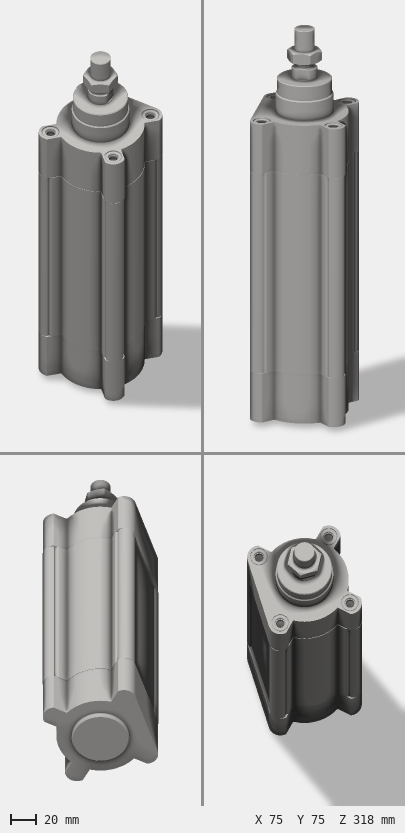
import cadquery as cq
import math

FRONT_FACE_Z = 245.5
CAP_LENGTH = 40.5
PILOT_LENGTH = 4.0
COLLAR_LENGTH = 16.0
NOSE_LENGTH = 12.0
TOTAL_LENGTH = 318.0
NOSE_TOP_Z = FRONT_FACE_Z + COLLAR_LENGTH + NOSE_LENGTH
ROD_TOP_Z = TOTAL_LENGTH - PILOT_LENGTH

FLANK_ROOT_FILLET = 0.5
FLANK_TIP_FILLET = 1.3
EDGE_TOLERANCE = 0.03

CAP_BARREL_RADIUS = 34.5
CAP_FLANK_OFFSET = 11.0
CAP_HALF_WIDTH = 37.5
SCREW_OFFSET = 28.3
CAP_LUG_RADIUS = CAP_HALF_WIDTH - SCREW_OFFSET

TUBE_BARREL_RADIUS = 34.7
TUBE_FLANK_OFFSET = 11.8
TUBE_HALF_WIDTH = 37.2
TUBE_SHOULDER_HALF_WIDTH = 35.0
TUBE_LUG_RADIUS = 7.3
TUBE_LUG_EDGE = 26.5

COLLAR_DIAMETER = 45.0
COLLAR_CHAMFER = 1.0
NOSE_DIAMETER = 43.0
NOSE_CHAMFER = 0.5
PILOT_CHAMFER = 1.0

RECESS_DIAMETER = 14.0
GAP_DEPTH = 1.0
HEAD_DIAMETER = 13.0
HEAD_CHAMFER_DIAMETER = 12.0
HEAD_DEPTH = 0.3
COUNTERSINK_DIAMETER = 9.0
SOCKET_DIAMETER = 8.0
DRILL_DIAMETER = 6.7
SOCKET_DEPTH = 2.0
DRILL_DEPTH = 4.8
DRILL_TIP_ANGLE = 118.0

ROD_DIAMETER = 20.0
ROD_SHOULDER_Z = 282.0
ROD_FLATS_WIDTH = 17.0
ROD_ROUND_LENGTH = 0.5
ROD_FLATS_BOTTOM_Z = NOSE_TOP_Z + ROD_ROUND_LENGTH
NECK_FOOT_DIAMETER = 15.0
NECK_DIAMETER = 13.0
NECK_TOP_Z = 284.7
STUD_ROOT_DIAMETER = 14.3
STUD_DIAMETER = 16.0
STUD_CHAMFER = 0.48

NUT_WIDTH = 24.0
NUT_BOTTOM_Z = 287.5
NUT_HEIGHT = 9.0
NUT_CHAMFER_ANGLE = 30.0


def fillet_upright_edges(body, distance, radius):
    """Fillet the edges parallel to Z that stand at a given distance from the axis."""

    def at_distance(edge):
        center = edge.Center()
        return abs(math.hypot(center.x, center.y) - distance) < EDGE_TOLERANCE

    return body.edges("|Z").filter(at_distance).fillet(radius)


def flanked_section(half_width, barrel_radius, flank_offset, bottom_z, length):
    """Square around the barrel, cut back to the barrel between 45 degree flanks on all sides but +Y."""
    plane = cq.Workplane("XY", origin=(0, 0, bottom_z))
    barrel = plane.circle(barrel_radius).extrude(length)
    flank_end = half_width - flank_offset
    notch = (
        plane.polyline([(half_width, flank_end), (flank_offset, 0), (half_width, -flank_end)])
        .close()
        .extrude(length)
        .cut(barrel)
    )
    section = plane.rect(2 * half_width, 2 * half_width).extrude(length)
    for angle in (0, 180, 270):
        section = section.cut(notch.rotate((0, 0, 0), (0, 0, 1), angle))
    section = fillet_upright_edges(section, barrel_radius, FLANK_ROOT_FILLET)
    return fillet_upright_edges(section, math.hypot(half_width, flank_end), FLANK_TIP_FILLET)


def make_cap(bottom_z):
    cap = flanked_section(CAP_HALF_WIDTH, CAP_BARREL_RADIUS, CAP_FLANK_OFFSET, bottom_z, CAP_LENGTH)
    return fillet_upright_edges(cap, math.hypot(CAP_HALF_WIDTH, CAP_HALF_WIDTH), CAP_LUG_RADIUS)


def make_tube(bottom_z, length):
    """Flanked tube with a round lug on each corner, stepped out from the flat shoulders."""
    tube = flanked_section(
        TUBE_SHOULDER_HALF_WIDTH, TUBE_BARREL_RADIUS, TUBE_FLANK_OFFSET, bottom_z, length
    )
    plane = cq.Workplane("XY", origin=(0, 0, bottom_z))
    lug_center = TUBE_HALF_WIDTH - TUBE_LUG_RADIUS
    corner_size = TUBE_HALF_WIDTH - TUBE_LUG_EDGE
    corner_center = TUBE_LUG_EDGE + corner_size / 2
    lug = (
        plane.center(lug_center, lug_center)
        .circle(TUBE_LUG_RADIUS)
        .extrude(length)
        .intersect(plane.center(corner_center, corner_center).rect(corner_size, corner_size).extrude(length))
    )
    for angle in (0, 90, 180, 270):
        tube = tube.union(lug.rotate((0, 0, 0), (0, 0, 1), angle))
    return tube


def disc(diameter, bottom_z, height):
    return cq.Workplane("XY", origin=(0, 0, bottom_z)).circle(diameter / 2).extrude(height)


def screw_recess():
    """Recess around and inside one screw: gap, chamfered head, countersunk socket and drill point."""
    drill_radius = DRILL_DIAMETER / 2
    tip_depth = drill_radius / math.tan(math.radians(DRILL_TIP_ANGLE / 2))
    chamfer_depth = (HEAD_DIAMETER - HEAD_CHAMFER_DIAMETER) / 2
    countersink_depth = (COUNTERSINK_DIAMETER - SOCKET_DIAMETER) / 2
    profile = [
        (0, 0),
        (RECESS_DIAMETER / 2, 0),
        (RECESS_DIAMETER / 2, -GAP_DEPTH),
        (HEAD_DIAMETER / 2, -GAP_DEPTH),
        (HEAD_DIAMETER / 2, -HEAD_DEPTH - chamfer_depth),
        (HEAD_CHAMFER_DIAMETER / 2, -HEAD_DEPTH),
        (COUNTERSINK_DIAMETER / 2, -HEAD_DEPTH),
        (SOCKET_DIAMETER / 2, -HEAD_DEPTH - countersink_depth),
        (SOCKET_DIAMETER / 2, -SOCKET_DEPTH),
        (drill_radius, -SOCKET_DEPTH),
        (drill_radius, -DRILL_DEPTH),
        (0, -DRILL_DEPTH - tip_depth),
    ]
    return cq.Workplane("XZ").polyline(profile).close().revolve(360, (0, 0), (0, 1))


def make_housing():
    tube_length = FRONT_FACE_Z - 2 * CAP_LENGTH
    rear_cap = make_cap(0)
    tube = make_tube(CAP_LENGTH, tube_length)
    front_cap = make_cap(FRONT_FACE_Z - CAP_LENGTH)
    pilot = disc(COLLAR_DIAMETER, -PILOT_LENGTH, PILOT_LENGTH).faces("<Z").chamfer(PILOT_CHAMFER)
    collar = disc(COLLAR_DIAMETER, FRONT_FACE_Z, COLLAR_LENGTH).faces(">Z").chamfer(COLLAR_CHAMFER)
    nose = disc(NOSE_DIAMETER, FRONT_FACE_Z + COLLAR_LENGTH, NOSE_LENGTH).faces(">Z").chamfer(NOSE_CHAMFER)
    housing = rear_cap.union(tube).union(front_cap).union(pilot).union(collar).union(nose)
    for x in (-SCREW_OFFSET, SCREW_OFFSET):
        for y in (-SCREW_OFFSET, SCREW_OFFSET):
            housing = housing.cut(screw_recess().translate((x, y, FRONT_FACE_Z)))
    return housing


def make_rod():
    """Rod standing on the nose, with two wrench flats, a neck and a stud."""
    rod = disc(ROD_DIAMETER, NOSE_TOP_Z, ROD_SHOULDER_Z - NOSE_TOP_Z)
    across_flats = (
        cq.Workplane("XY", origin=(0, 0, ROD_FLATS_BOTTOM_Z))
        .rect(ROD_FLATS_WIDTH, ROD_DIAMETER)
        .extrude(ROD_SHOULDER_Z - ROD_FLATS_BOTTOM_Z)
    )
    base = disc(ROD_DIAMETER, NOSE_TOP_Z, ROD_ROUND_LENGTH)
    rod = rod.intersect(base.union(across_flats))
    neck = disc(NECK_DIAMETER, ROD_SHOULDER_Z, NECK_TOP_Z - ROD_SHOULDER_Z)
    foot_height = (NECK_FOOT_DIAMETER - NECK_DIAMETER) / 2
    neck_foot = (
        cq.Workplane("XY", origin=(0, 0, ROD_SHOULDER_Z))
        .circle(NECK_FOOT_DIAMETER / 2)
        .extrude(foot_height, taper=45)
    )
    root = disc(STUD_ROOT_DIAMETER, NECK_TOP_Z, NUT_BOTTOM_Z - NECK_TOP_Z)
    stud = disc(STUD_DIAMETER, NUT_BOTTOM_Z, ROD_TOP_Z - NUT_BOTTOM_Z).faces(">Z").chamfer(STUD_CHAMFER)
    return rod.union(neck_foot).union(neck).union(root).union(stud)


def make_nut():
    """Hexagon nut with its flats across X and its corners chamfered at both ends."""
    corner_radius = NUT_WIDTH / 2 / math.cos(math.pi / 6)
    chamfer_drop = (corner_radius - NUT_WIDTH / 2) * math.tan(math.radians(NUT_CHAMFER_ANGLE))
    hexagon = (
        cq.Workplane("XY", origin=(0, 0, NUT_BOTTOM_Z))
        .polygon(6, 2 * corner_radius)
        .extrude(NUT_HEIGHT)
        .rotate((0, 0, 0), (0, 0, 1), 30)
    )
    blank = disc(2 * corner_radius, NUT_BOTTOM_Z, NUT_HEIGHT)
    blank = blank.faces("<Z or >Z").chamfer(chamfer_drop, corner_radius - NUT_WIDTH / 2)
    return hexagon.intersect(blank).cut(disc(STUD_DIAMETER, NUT_BOTTOM_Z, NUT_HEIGHT))


housing = make_housing()
rod = make_rod()
nut = make_nut()

result = cq.Compound.makeCompound([housing.val(), rod.val(), nut.val()])